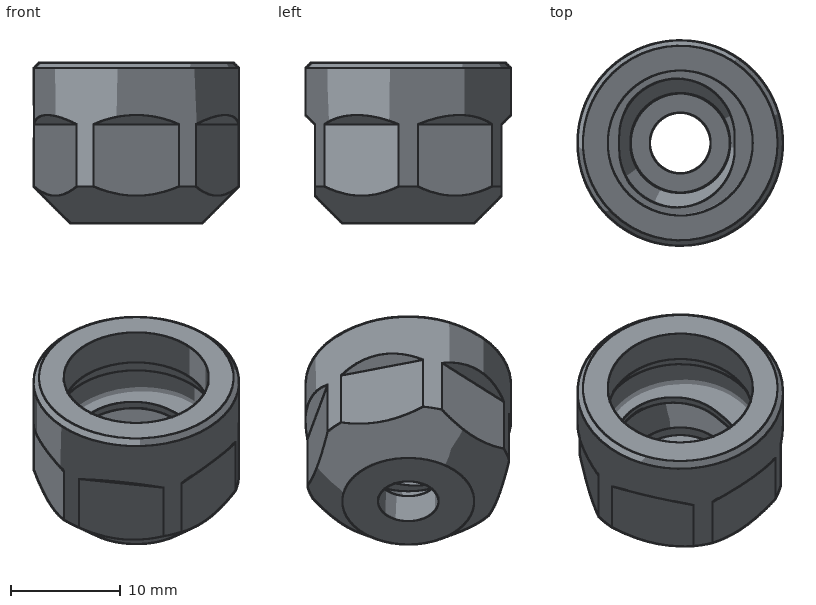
import cadquery as cq
import math

height = 14.6
outer_radius = 18.7 / 2
top_chamfer = 0.5
base_radius = 6.0
cone_height = outer_radius - base_radius

flat_count = 6
across_flats = 17.0
flat_top = 9.0
cutter_clearance = 1.0

bore_radius = 13.19 / 2
undercut_radius = 14.5 / 2
bore_depth = 3.5
undercut_taper_height = 1.45
undercut_fillet = 0.8
floor_z = 7.1

slot_offset_x = -0.3
slot_width = 10.5
slot_length = 11.7
lip_thickness = 0.75

cone_half_angle = 30
cone_top_radius = 5.9
seat_radius = 9.1 / 2
seat_floor_radius = 9.0 / 2
seat_depth = 1.0

through_radius = 5.5 / 2

cone_top_z = floor_z - lip_thickness
seat_top_z = cone_top_z - (cone_top_radius - seat_radius) / math.tan(math.radians(cone_half_angle))
seat_floor_z = seat_top_z - seat_depth


def make_body():
    """Turned blank with a chamfered rim and a conical lower end."""
    profile = (
        cq.Workplane("XZ")
        .lineTo(base_radius, 0)
        .lineTo(outer_radius, cone_height)
        .lineTo(outer_radius, height - top_chamfer)
        .lineTo(outer_radius - top_chamfer, height)
        .lineTo(0, height)
        .close()
    )
    return profile.revolve(360, (0, 0, 0), (0, 1, 0))


def make_flat_cutter():
    """Prism that mills one flat and leaves a 45 degree slope above it."""
    apothem = across_flats / 2
    reach = outer_radius - apothem + cutter_clearance
    return (
        cq.Workplane("YZ")
        .moveTo(apothem, 0)
        .lineTo(apothem, flat_top)
        .lineTo(apothem + reach, flat_top + reach)
        .lineTo(apothem + reach, 0)
        .close()
        .extrude(outer_radius, both=True)
    )


def cut_flats(body):
    cutter = make_flat_cutter()
    for index in range(flat_count):
        angle = index * 360 / flat_count
        body = body.cut(cutter.rotate((0, 0, 0), (0, 0, 1), angle))
    return body


def make_bore():
    """Entry bore with a tapered undercut and a filleted floor corner."""
    bore_end_z = height - bore_depth
    fillet_centre_r = undercut_radius - undercut_fillet
    fillet_centre_z = floor_z + undercut_fillet
    fillet_reach = undercut_fillet * math.sqrt(0.5)
    profile = (
        cq.Workplane("XZ")
        .moveTo(0, floor_z)
        .lineTo(fillet_centre_r, floor_z)
        .threePointArc(
            (fillet_centre_r + fillet_reach, fillet_centre_z - fillet_reach),
            (undercut_radius, fillet_centre_z),
        )
        .lineTo(undercut_radius, bore_end_z - undercut_taper_height)
        .lineTo(bore_radius, bore_end_z)
        .lineTo(bore_radius, height)
        .lineTo(0, height)
        .close()
    )
    return profile.revolve(360, (0, 0, 0), (0, 1, 0))


def make_lip_slot():
    """Off-centre slot, elongated along Y, cut straight through the lip."""
    return (
        cq.Workplane("XY", origin=(slot_offset_x, 0, cone_top_z))
        .slot2D(slot_length, slot_width, 90)
        .extrude(lip_thickness)
    )


def make_cone_seat():
    """Conical recess under the lip and the round seat at its bottom."""
    profile = (
        cq.Workplane("XZ")
        .moveTo(0, seat_floor_z)
        .lineTo(seat_floor_radius, seat_floor_z)
        .lineTo(seat_radius, seat_top_z)
        .lineTo(cone_top_radius, cone_top_z)
        .lineTo(0, cone_top_z)
        .close()
    )
    return profile.revolve(360, (0, 0, 0), (0, 1, 0))


def make_through_hole():
    return cq.Workplane("XY").circle(through_radius).extrude(height)


result = cut_flats(make_body())
result = result.cut(make_bore())
result = result.cut(make_lip_slot())
result = result.cut(make_cone_seat())
result = result.cut(make_through_hole())